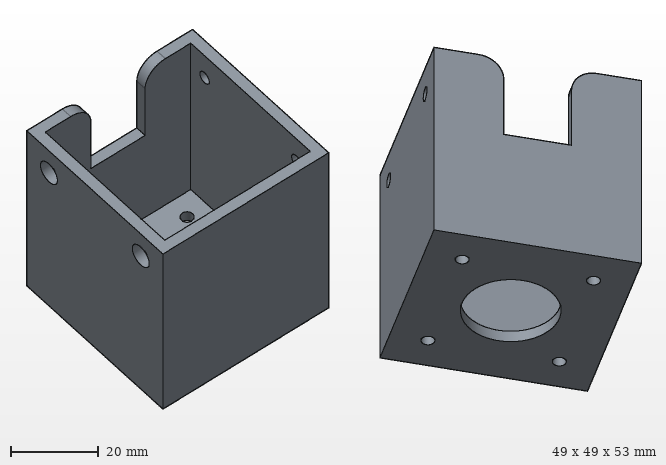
import cadquery as cq

width = 49.0
height = 53.0
wall = 3.0
floor = 3.0

bore_diameter = 23.0
mount_hole_diameter = 3.2
mount_hole_spacing = 31.0

screw_hole_diameter = 3.4
access_hole_diameter = 6.1
screw_spacing = 33.0
screw_drop = 7.5

notch_width = 16.0
notch_depth = 22.0
notch_lip_radius = 6.0


def make_shell():
    inside = width - 2 * wall
    outer = cq.Workplane("XY").box(width, width, height, centered=(True, True, False))
    cavity = (
        cq.Workplane("XY")
        .workplane(offset=floor)
        .rect(inside, inside)
        .extrude(height - floor)
    )
    return outer.cut(cavity)


def cut_floor_holes(body):
    bore = cq.Workplane("XY").circle(bore_diameter / 2).extrude(floor)
    mount_holes = (
        cq.Workplane("XY")
        .rect(mount_hole_spacing, mount_hole_spacing, forConstruction=True)
        .vertices()
        .circle(mount_hole_diameter / 2)
        .extrude(floor)
    )
    return body.cut(bore).cut(mount_holes)


def cut_wall_holes(body, wall_outside_y, diameter):
    """Pair of holes through the Y wall whose outside face is at wall_outside_y."""
    inward = wall if wall_outside_y < 0 else -wall
    hole_z = height - screw_drop
    holes = (
        cq.Workplane("XZ", origin=(0, wall_outside_y, hole_z))
        .pushPoints([(-screw_spacing / 2, 0), (screw_spacing / 2, 0)])
        .circle(diameter / 2)
        .extrude(-inward)
    )
    return body.cut(holes)


def cut_notch(body):
    """Flat-bottomed notch whose sides flare outward in arcs at the rim."""
    half = notch_width / 2
    radius = notch_lip_radius
    bottom = height - notch_depth
    arc_start = height - radius
    notch = (
        cq.Workplane("YZ", origin=(-width / 2, 0, 0))
        .moveTo(-half, bottom)
        .lineTo(half, bottom)
        .lineTo(half, arc_start)
        .radiusArc((half + radius, height), radius)
        .lineTo(-half - radius, height)
        .radiusArc((-half, arc_start), radius)
        .close()
        .extrude(wall)
    )
    return body.cut(notch)


result = make_shell()
result = cut_floor_holes(result)
result = cut_wall_holes(result, -width / 2, access_hole_diameter)
result = cut_wall_holes(result, width / 2, screw_hole_diameter)
result = cut_notch(result)